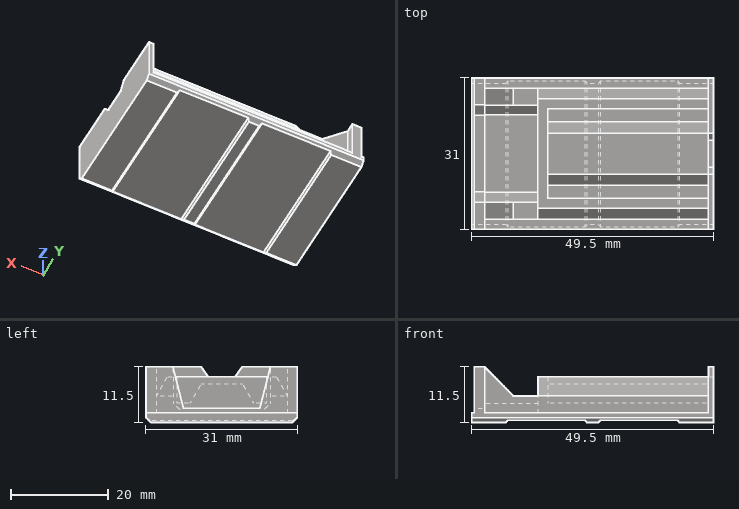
import cadquery as cq

length = 49.5
width = 31.0
height = 11.5

base_top = 2.1
edge_chamfer = 1.05
groove_depth = 0.5
foot_length = 7.4
foot_side_run = 0.4
middle_foot_length = 3.15

lip = 0.5
front_wall_back = 2.6
opening_floor = 2.95
opening_half_top = 10.0
opening_half_bottom = 7.8

end_wall = 1.05
end_wall_face = length - end_wall
notch_half_bottom = 2.75
notch_half_top = 4.2

rail_top = 5.5
rail_outer = 13.4
rail_inner = 9.95
bevel_top = 4.0
bevel_bottom_half = 7.9
brace_end = 8.5

block_front = 13.55
block_top = 9.45
block_half_top = 11.2
tray_wall = 2.05
tray_front = block_front + tray_wall
tray_half = block_half_top - tray_wall
tray_floor = 4.05
ridge_top = 8.0
ridge_half_bottom = 6.5
ridge_half_top = 4.2


def prism_along_x(half_outline, x_start, x_end):
    """Extrude a Y-symmetric section, given as its +Y points from bottom to top."""
    mirrored = [(-y, z) for y, z in reversed(half_outline)]
    section = cq.Workplane("YZ", origin=(x_start, 0, 0)).polyline(half_outline + mirrored).close()
    return section.extrude(x_end - x_start)


def base_plate():
    half_outline = [
        (width / 2 - edge_chamfer, 0),
        (width / 2, edge_chamfer),
        (width / 2, base_top),
    ]
    plate = prism_along_x(half_outline, 0, length)
    groove_length = (length - middle_foot_length) / 2 - foot_length
    for start in (foot_length, (length + middle_foot_length) / 2):
        end = start + groove_length
        outline = [
            (start - foot_side_run, 0),
            (end + foot_side_run, 0),
            (end, groove_depth),
            (start, groove_depth),
        ]
        groove = cq.Workplane("XZ").polyline(outline).close().extrude(width / 2, both=True)
        plate = plate.cut(groove)
    return plate


def wall(x_start, x_end, notch):
    """Full-width upright wall with a symmetric notch cut down from its top."""
    body = prism_along_x([(width / 2, base_top), (width / 2, height)], x_start, x_end)
    return body.cut(prism_along_x(notch, x_start, x_end))


def side_rails():
    """Rails with a sloping brace against the front wall and a beveled recess between them."""
    profile = [
        (front_wall_back, base_top),
        (block_front, base_top),
        (block_front, rail_top),
        (brace_end, rail_top),
        (front_wall_back, height),
    ]
    body = cq.Workplane("XZ").polyline(profile).close().extrude(rail_outer, both=True)
    recess = [
        (bevel_bottom_half, base_top),
        (rail_inner, bevel_top),
        (rail_inner, height),
    ]
    return body.cut(prism_along_x(recess, front_wall_back, block_front))


def main_block():
    outline = [
        (rail_outer, base_top),
        (rail_outer, rail_top),
        (block_half_top, block_top),
    ]
    body = prism_along_x(outline, block_front, end_wall_face)
    tray = prism_along_x([(tray_half, tray_floor), (tray_half, block_top)], tray_front, end_wall_face)
    ridge_outline = [(ridge_half_bottom, tray_floor), (ridge_half_top, ridge_top)]
    ridge = prism_along_x(ridge_outline, tray_front, end_wall_face)
    return body.cut(tray).union(ridge)


opening = [(opening_half_bottom, opening_floor), (opening_half_top, height)]
notch = [(notch_half_bottom, block_top), (notch_half_top, height)]

result = (
    base_plate()
    .union(wall(lip, front_wall_back, opening))
    .union(side_rails())
    .union(main_block())
    .union(wall(end_wall_face, length, notch))
)